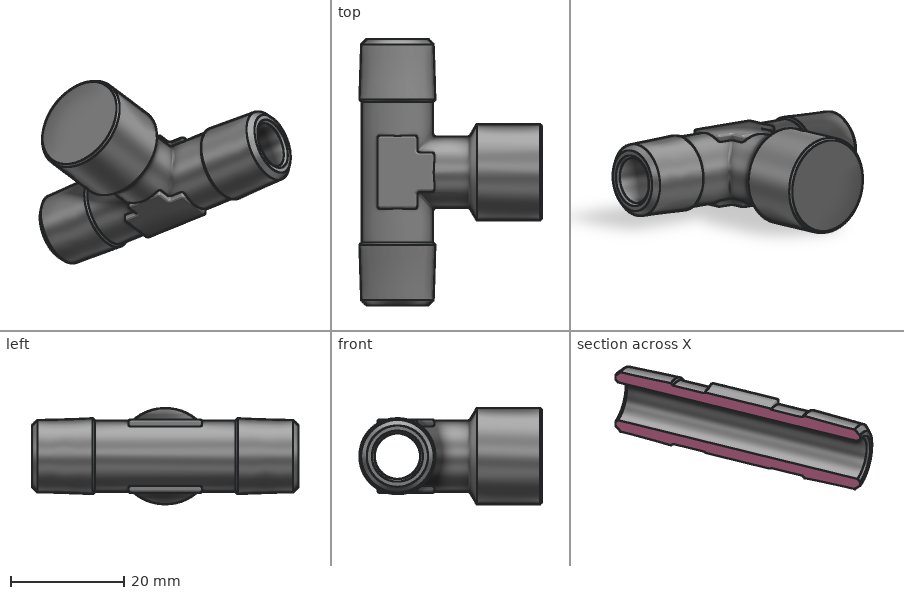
import cadquery as cq

run_half_length = 23.5
tube_radius = 6.3
bore_radius = 4.0
bore_chamfer = 0.5
end_chamfer = 1.0
taper_start = 13.0
taper_large_radius = 6.7
taper_per_length = 1 / 32
taper_lip = 0.2
taper_neck_length = 0.4

branch_end = 25.5
head_radius = 8.5
head_start = 14.0
shoulder_length = 1.27
shoulder_fillet = 0.5
head_end_chamfer = 0.4

pad_half_height = 6.5
pad_reach = 6.5
pad_half_width = 3.5
pad_edge_fillet = 0.5

crossing_fillet = 0.5

selection_margin = 0.1


def make_run():
    """Tube with a male taper at each end, revolved about Y."""
    taper_end = run_half_length - end_chamfer
    taper_small_radius = taper_large_radius - taper_per_length * (taper_end - taper_start)
    neck_end = taper_start - taper_lip
    half_profile = [
        (tube_radius, neck_end - taper_neck_length),
        (taper_large_radius, neck_end),
        (taper_large_radius, taper_start),
        (taper_small_radius, taper_end),
        (taper_small_radius - end_chamfer, run_half_length),
        (0, run_half_length),
    ]
    upper = [(-radius, y) for radius, y in half_profile]
    lower = [(x, -y) for x, y in reversed(upper)]
    profile = cq.Workplane("XY").polyline(lower + upper).close()
    return profile.revolve(360, (0, 0, 0), (0, 1, 0))


def make_branch():
    """Solid round branch, revolved about X."""
    shoulder_x = head_start - shoulder_length
    profile = (
        cq.Workplane("XY")
        .lineTo(0, -tube_radius)
        .lineTo(shoulder_x, -tube_radius)
        .lineTo(head_start, -head_radius)
        .lineTo(branch_end - head_end_chamfer, -head_radius)
        .lineTo(branch_end, head_end_chamfer - head_radius)
        .lineTo(branch_end, 0)
        .close()
    )
    branch = profile.revolve(360, (0, 0, 0), (1, 0, 0))
    shoulder_edge = cq.selectors.BoxSelector(
        (shoulder_x - selection_margin, -head_radius, -head_radius),
        (shoulder_x + selection_margin, head_radius, head_radius),
        boundingbox=True,
    )
    return branch.edges(shoulder_edge).fillet(shoulder_fillet)


def make_pads():
    """T-shaped block whose top and bottom stand proud of the tubes as pads."""
    outline = (
        cq.Workplane("XY", origin=(0, 0, -pad_half_height))
        .moveTo(-pad_half_width, -pad_reach)
        .lineTo(pad_half_width, -pad_reach)
        .lineTo(pad_half_width, -pad_half_width)
        .lineTo(pad_reach, -pad_half_width)
        .lineTo(pad_reach, pad_half_width)
        .lineTo(pad_half_width, pad_half_width)
        .lineTo(pad_half_width, pad_reach)
        .lineTo(-pad_half_width, pad_reach)
        .close()
    )
    block = outline.extrude(2 * pad_half_height)
    block = block.edges("|Z").fillet(pad_edge_fillet)
    return block.faces("<Z or >Z").edges().fillet(pad_edge_fillet)


def round_crossing(body):
    """Fillet the two seams where the branch leaves the run."""
    seams = cq.selectors.BoxSelector(
        (pad_half_width, -pad_reach, -pad_half_height),
        (pad_reach, pad_reach, pad_half_height),
    )
    return body.edges(seams).edges("%ELLIPSE").fillet(crossing_fillet)


def cut_bore(body):
    """Through bore along the run, chamfered at both mouths."""
    mouth_radius = bore_radius + bore_chamfer
    chamfer_start = run_half_length - bore_chamfer
    profile = (
        cq.Workplane("XY")
        .moveTo(0, -run_half_length)
        .lineTo(-mouth_radius, -run_half_length)
        .lineTo(-bore_radius, -chamfer_start)
        .lineTo(-bore_radius, chamfer_start)
        .lineTo(-mouth_radius, run_half_length)
        .lineTo(0, run_half_length)
        .close()
    )
    return body.cut(profile.revolve(360, (0, 0, 0), (0, 1, 0)))


body = make_run().union(make_branch()).union(make_pads())
body = round_crossing(body)
result = cut_bore(body)